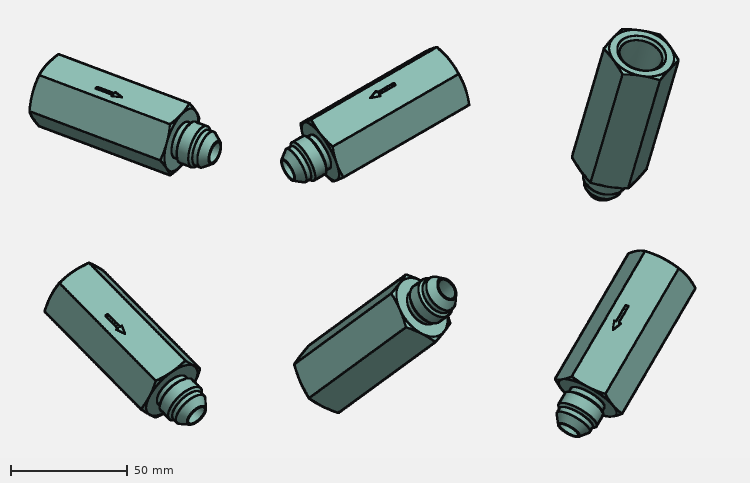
import cadquery as cq
import math

total_length = 83.8
hex_across_flats = 28.6
hex_length = 67.05
hex_chamfer_angle = 20.0

neck_diameter = 16.7
neck_length = 2.6
collar_diameter = 19.0
collar_length = 6.45
collar_back_length = 0.7
pilot_diameter = 16.5
pilot_end = 79.9
nose_angle = 36.5

port_diameter = 18.9
port_mouth_diameter = 21.45
port_mouth_depth = 1.4
port_depth = 17.6
port_end_diameter = 17.85
cone_half_angle = 59.0
passage_diameter = 9.5

arrow_tail_x = 26.4
arrow_length = 12.7
arrow_y = -3.0
shaft_width = 1.25
head_length = 4.2
head_width = 3.2
arrow_depth = 0.1


def revolve_about_x(profile):
    """Revolve a closed (x, radius) outline a full turn about the X axis."""
    return cq.Workplane("XY").polyline(profile).close().revolve(360, (0, 0, 0), (1, 0, 0))


def hex_body():
    """Hexagon with flats on top and bottom, its corners turned off at both ends."""
    across_corners = hex_across_flats / math.cos(math.radians(30))
    hexagon = cq.Workplane("YZ").polygon(6, across_corners).extrude(hex_length)

    flat_radius = hex_across_flats / 2
    corner_radius = across_corners / 2
    chamfer_length = (corner_radius - flat_radius) * math.tan(math.radians(hex_chamfer_angle))
    turned_envelope = revolve_about_x([
        (0, 0),
        (0, flat_radius),
        (chamfer_length, corner_radius),
        (hex_length - chamfer_length, corner_radius),
        (hex_length, flat_radius),
        (hex_length, 0),
    ])
    return hexagon.intersect(turned_envelope)


def male_end():
    """Turned spigot: relief neck, chamfered collar, pilot and conical nose."""
    neck_radius = neck_diameter / 2
    collar_radius = collar_diameter / 2
    pilot_radius = pilot_diameter / 2
    collar_start = hex_length + neck_length
    collar_end = collar_start + collar_length
    front_chamfer = collar_radius - pilot_radius
    nose_drop = (total_length - pilot_end) * math.tan(math.radians(nose_angle))
    return revolve_about_x([
        (hex_length, 0),
        (hex_length, neck_radius),
        (collar_start, neck_radius),
        (collar_start + collar_back_length, collar_radius),
        (collar_end, collar_radius),
        (collar_end + front_chamfer, pilot_radius),
        (pilot_end, pilot_radius),
        (total_length, pilot_radius - nose_drop),
        (total_length, 0),
    ])


def flow_cavity():
    """Countersunk tapered port, a drill-point cone and the through passage."""
    port_end_radius = port_end_diameter / 2
    passage_radius = passage_diameter / 2
    cone_length = (port_end_radius - passage_radius) / math.tan(math.radians(cone_half_angle))
    return revolve_about_x([
        (0, 0),
        (0, port_mouth_diameter / 2),
        (port_mouth_depth, port_diameter / 2),
        (port_depth, port_end_radius),
        (port_depth + cone_length, passage_radius),
        (total_length, passage_radius),
        (total_length, 0),
    ])


def flow_arrow():
    """Shallow arrow pointing along +X, from the port to the male end."""
    head_start = arrow_length - head_length
    return (
        cq.Workplane("XY", origin=(arrow_tail_x, arrow_y, hex_across_flats / 2 - arrow_depth))
        .moveTo(0, -shaft_width / 2)
        .lineTo(head_start, -shaft_width / 2)
        .lineTo(head_start, -head_width / 2)
        .lineTo(arrow_length, 0)
        .lineTo(head_start, head_width / 2)
        .lineTo(head_start, shaft_width / 2)
        .lineTo(0, shaft_width / 2)
        .close()
        .extrude(arrow_depth)
    )


result = hex_body().union(male_end()).cut(flow_cavity()).cut(flow_arrow())